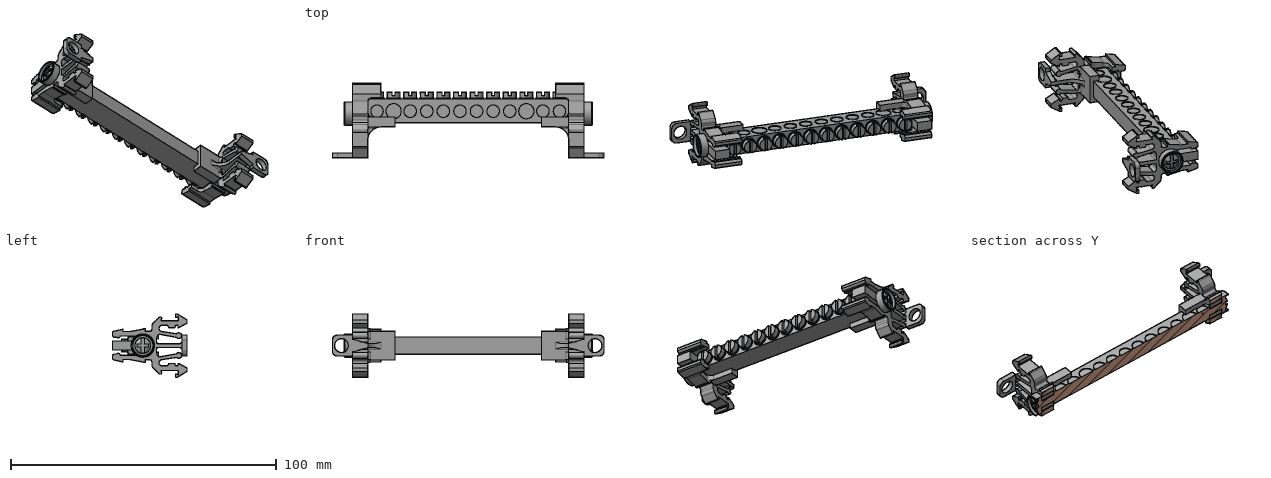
import cadquery as cq


total_length = 102.4
height = 28.2
half_width = 12.0

clip_outer = 43.6
clip_inner = 37.8
jaw_end = 32.9
saddle_end = 27.5
clip_half_depth = 5.3
shoulder_y = 13.3
shoulder_radius = 0.9

jaw_inner = 3.6
slot_floor = 17.4
window_bottom = 15.5
window_top = 22.7
window_radius = 1.7
tongue_half_depth = 1.7

saddle_bottom = 11.7
saddle_top = window_bottom
saddle_half_depth = 5.4
rib_half_depth = 0.77
gusset_radius = 4.9
rib_root = 0.6
web_root = 0.9
web_root_from = 2.5
web_root_to = 5.3

eye_thickness = 1.9
eye_half_depth = 4.0
eye_corner = 1.9
eye_hole_radius = 2.6
eye_hole_inset = 3.5
plate_root_half_depth = 2.5

clamp_y = 16.7
clamp_radius = 4.4
clamp_length = 3.1
clamp_chamfer = 0.2
cup_radius = 3.8
cup_depth = 1.2
dome_radius = 3.0
dome_rise = 1.0
cross_length_y = 4.3
cross_length_z = 5.5
cross_width = 1.2

bar_bottom = 13.2
bar_top = 22.2
bar_half_depth = 3.3
terminal_count = 12
terminal_pitch = 6.2
hole_y = 17.6
hole_radius = 2.4
large_hole_radius = 2.9
large_holes = (1, 9)
hole_depth = 0.3

head_radius = 2.5
head_height = 2.6
collar_radius = 2.8
collar_height = 0.3
driver_width = 1.0
driver_depth = 1.3


def box(x0, x1, y0, y1, z0, z1):
    """Box between two corners."""
    return cq.Workplane("XY").box(x1 - x0, y1 - y0, z1 - z0, centered=False).translate((x0, y0, z0))


def clip_half():
    """Upper half of the clip section: jaw, shoulder, barbed leg, spring finger and centre rib."""
    return (
        cq.Workplane("YZ", origin=(-clip_outer, 0, 0))
        .moveTo(slot_floor, 0)
        .lineTo(slot_floor, jaw_inner)
        .lineTo(25.2, jaw_inner)
        .threePointArc((26.0, 2.9), (26.4, 3.1))
        .lineTo(27.3, 3.1)
        .threePointArc((27.8, 3.4), (height, 3.9))
        .lineTo(height, 5.0)
        .lineTo(27.6, 5.4)
        .lineTo(24.1, 6.2)
        .lineTo(24.1, clip_half_depth)
        .lineTo(21.5, clip_half_depth)
        .lineTo(16.5, 6.2)
        .lineTo(16.5, 6.5)
        .lineTo(15.8, 6.5)
        .lineTo(15.8, clip_half_depth)
        .lineTo(shoulder_y + shoulder_radius, clip_half_depth)
        .radiusArc((shoulder_y, clip_half_depth + shoulder_radius), shoulder_radius)
        .lineTo(shoulder_y, 7.2)
        .radiusArc((12.7, 8.6), -2.0)
        .lineTo(10.5, 10.6)
        .threePointArc((9.9, 10.7), (9.5, 10.2))
        .lineTo(9.8, 9.4)
        .lineTo(3.4, 9.4)
        .lineTo(3.4, 11.0)
        .lineTo(4.0, 10.6)
        .lineTo(4.4, 10.6)
        .lineTo(4.4, 11.6)
        .radiusArc((4.0, half_width), -0.4)
        .lineTo(3.7, half_width)
        .lineTo(0, 9.7)
        .lineTo(0, 8.4)
        .lineTo(3.3, 6.7)
        .lineTo(3.5, 6.7)
        .lineTo(3.5, 7.6)
        .lineTo(4.3, 7.6)
        .lineTo(4.7, 6.7)
        .lineTo(6.9, 6.7)
        .lineTo(7.4, 7.6)
        .lineTo(9.6, 7.6)
        .threePointArc((10.5, 6.5), (9.4, 5.3))
        .lineTo(4.0, 4.5)
        .threePointArc((2.0, 3.7), (4.1, 3.1))
        .lineTo(10.3, 4.2)
        .threePointArc((11.2, 3.7), (11.5, 2.7))
        .lineTo(11.5, 1.3)
        .threePointArc((11.3, 0.9), (11.0, rib_half_depth))
        .lineTo(2.6, rib_half_depth)
        .lineTo(eye_thickness, 1.4)
        .lineTo(eye_thickness, 0)
        .close()
        .extrude(clip_outer - jaw_end)
    )


def clip_body():
    """Full clip section; only the jaws reach past the inner face, over a rounded window."""
    upper = clip_half()
    section = upper.union(upper.mirror("XY"))
    below = box(-clip_inner, -jaw_end, 0, window_bottom, -half_width, half_width)
    window = box(-clip_inner, -saddle_end, window_bottom, window_top, -half_width, half_width)
    window = window.edges("|Z and <X").fillet(window_radius)
    return section.cut(below).cut(window)


def tongue():
    """Flat tongue standing between the two jaws."""
    return box(-clip_outer, -clip_inner, slot_floor, height, -tongue_half_depth, tongue_half_depth)


def concave_corner(radius, corner_y, z0, z1):
    """Concave fillet between the clip's inner face and a surface facing down at corner_y."""
    return (
        cq.Workplane("XY", origin=(0, 0, z0))
        .moveTo(-clip_inner, corner_y)
        .lineTo(-clip_inner, corner_y - radius)
        .radiusArc((-clip_inner + radius, corner_y), radius)
        .close()
        .extrude(z1 - z0)
    )


def gusset_root():
    """Concave fillets along both sides of the gusset where it meets the saddle."""
    foot = rib_half_depth + rib_root
    low = saddle_bottom - rib_root
    profile = (
        cq.Workplane("YZ", origin=(-clip_inner, 0, 0))
        .moveTo(saddle_bottom, -foot)
        .radiusArc((low, -rib_half_depth), -rib_root)
        .lineTo(low, rib_half_depth)
        .radiusArc((saddle_bottom, foot), -rib_root)
        .close()
        .extrude(gusset_radius)
    )
    return profile.intersect(concave_corner(gusset_radius, saddle_bottom, -foot, foot))


def saddle():
    """Block holding the bar end, braced against the clip."""
    block = box(-clip_inner, -saddle_end, saddle_bottom, saddle_top, -saddle_half_depth, saddle_half_depth)
    block = block.union(concave_corner(gusset_radius, saddle_bottom, -rib_half_depth, rib_half_depth))
    block = block.union(gusset_root())
    for z0, z1 in ((web_root_from, web_root_to), (-web_root_to, -web_root_from)):
        block = block.union(concave_corner(web_root, saddle_bottom, z0, z1))
    return block


def mounting_eye():
    """Flat eye outside the clip, running to a point on the centre rib."""
    end = total_length / 2
    eye = box(-end, -clip_outer, 0, eye_thickness, -eye_half_depth, eye_half_depth)
    eye = eye.edges("|Y and <X").fillet(eye_corner)
    root = (
        cq.Workplane("XZ")
        .moveTo(-clip_outer, plate_root_half_depth)
        .lineTo(-clip_inner, rib_half_depth)
        .lineTo(-clip_inner, -rib_half_depth)
        .lineTo(-clip_outer, -plate_root_half_depth)
        .close()
        .extrude(-eye_thickness)
    )
    hole = (
        cq.Workplane("XZ", origin=(-end + eye_hole_inset, 0, 0))
        .circle(eye_hole_radius)
        .extrude(-eye_thickness)
    )
    return eye.union(root).cut(hole)


def clamp_screw():
    """Round head with a domed centre set in a cup, and a cross recess."""
    face = -clip_outer - clamp_length
    plane = cq.Workplane("YZ", origin=(face, clamp_y, 0))
    head = plane.circle(clamp_radius).extrude(clamp_length).faces("<X").chamfer(clamp_chamfer)
    head = head.cut(plane.circle(cup_radius).extrude(cup_depth))
    sphere_radius = (dome_radius**2 + dome_rise**2) / (2 * dome_rise)
    dome = cq.Workplane("XY").sphere(sphere_radius)
    dome = dome.translate((face + cup_depth - dome_rise + sphere_radius, clamp_y, 0))
    dome = dome.intersect(plane.circle(dome_radius).extrude(cup_depth))
    cross = plane.rect(cross_length_y, cross_width).extrude(cup_depth)
    cross = cross.union(plane.rect(cross_width, cross_length_z).extrude(cup_depth))
    return head.union(dome).cut(cross)


def terminal_screw():
    """Slotted screw head standing on the bar at X = 0."""
    seat = cq.Workplane("XZ", origin=(0, bar_top, 0))
    head = seat.circle(head_radius).extrude(-head_height)
    head = head.union(seat.circle(collar_radius).extrude(-collar_height))
    top = bar_top + head_height
    slot = box(-driver_width / 2, driver_width / 2, top - driver_depth, top, -head_radius, head_radius)
    return head.cut(slot)


def terminal_bar():
    """Rectangular bar with a row of wire holes, each with its clamping screw."""
    bar = box(-clip_inner, clip_inner, bar_bottom, bar_top, -bar_half_depth, bar_half_depth)
    screw = terminal_screw()
    for i in range(terminal_count):
        x = (i - (terminal_count - 1) / 2) * terminal_pitch
        radius = large_hole_radius if i in large_holes else hole_radius
        hole = (
            cq.Workplane("XY", origin=(x, hole_y, bar_half_depth - hole_depth))
            .circle(radius)
            .extrude(hole_depth)
        )
        bar = bar.cut(hole).union(screw.translate((x, 0, 0)))
    return bar


clip = clip_body().union(tongue()).union(saddle()).union(mounting_eye()).union(clamp_screw())
result = terminal_bar().union(clip).union(clip.mirror("YZ")).solids()